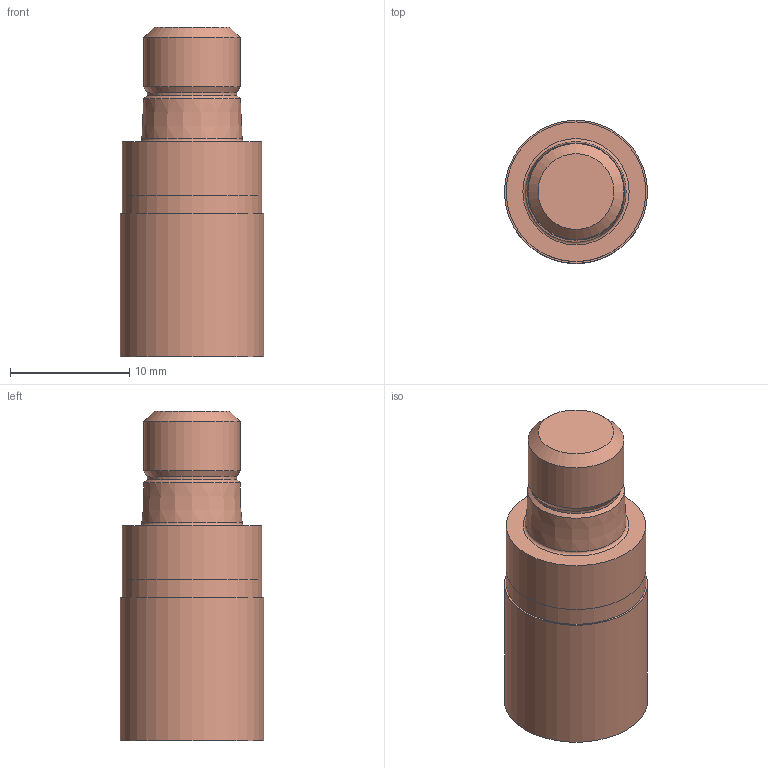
import cadquery as cq

barrel_radius = 6.0
barrel_height = 12.0
shoulder_radius = 5.85
joint_height = 13.5

shoulder_top = 18.0
fillet_radius = 0.25
neck_bottom_radius = 4.2
neck_top_radius = 4.05
neck_top = 21.6
groove_radius = 3.75
groove_lower = 21.86
groove_upper = 22.1
head_radius = 4.025
head_bottom = 22.6
head_chamfer = 0.85
total_height = 27.6


def make_base():
    """Stepped cylinder that carries the pin on its flat top."""
    barrel = cq.Workplane("XY").circle(barrel_radius).extrude(barrel_height)
    return barrel.faces(">Z").workplane().circle(shoulder_radius).extrude(joint_height - barrel_height)


def make_pin():
    """Turned pin, revolved from its half profile (X is radius, Y is height)."""
    neck_bottom = shoulder_top + fillet_radius
    profile = (
        cq.Workplane("XZ")
        .moveTo(0, joint_height)
        .lineTo(shoulder_radius, joint_height)
        .lineTo(shoulder_radius, shoulder_top)
        .lineTo(neck_bottom_radius + fillet_radius, shoulder_top)
        .radiusArc((neck_bottom_radius, neck_bottom), fillet_radius)
        .lineTo(neck_top_radius, neck_top)
        .lineTo(groove_radius, groove_lower)
        .lineTo(groove_radius, groove_upper)
        .lineTo(head_radius, head_bottom)
        .lineTo(head_radius, total_height - head_chamfer)
        .lineTo(head_radius - head_chamfer, total_height)
        .lineTo(0, total_height)
        .close()
    )
    return profile.revolve(360, (0, 0, 0), (0, 1, 0))


base = make_base()
pin = make_pin()
result = cq.Compound.makeCompound([base.val(), pin.val()])